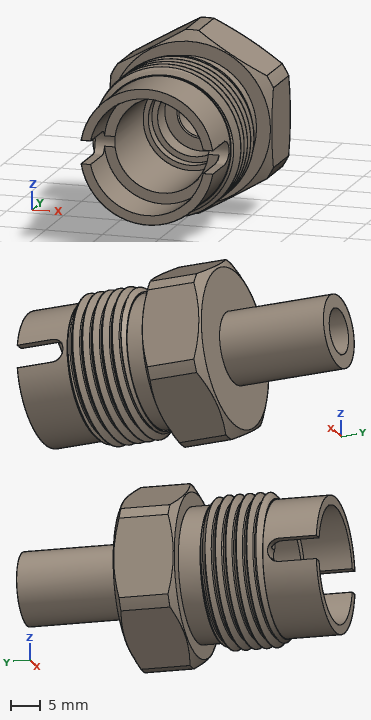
import cadquery as cq
import math


thread_start = 9.28
thread_end = 20.2
hex_front = 24.05
hex_back = 34.8
tail_length = 19.05
total_length = hex_back + tail_length

socket_diameter = 23.5
neck_diameter = 23.3
tail_diameter = 12.7

hex_across_flats = 28.575
hex_corner_diameter = 31.75
hex_front_face_diameter = 28.2
hex_back_face_diameter = 27.7
hex_half_angle = 30
bevel_angle = 30

inch = 25.4
turns_per_inch = 14
thread_diameter = 26.2
thread_root_diameter = 23.75
thread_pitch = inch / turns_per_inch
thread_flank_angle = 30
thread_crest_width = 0.12
crest_on_right = 18.09
turns_before_crest = 6
ridge_start = crest_on_right - turns_before_crest * thread_pitch
turns_after_crest = 2
ridge_turns = turns_before_crest + turns_after_crest
ridge_sink = 0.075
envelope_clearance = 0.9

bore_steps = [
    (20.2, 8.25),
    (16.5, 24.0),
    (14.7, 26.0),
    (12.7, 30.0),
]
through_diameter = 7.94
tail_mouth_diameter = 8.4
lead_in_length = (tail_mouth_diameter - through_diameter) / 2

slot_width = 4.06
slot_depth = 8.46


def revolve_about_axis(outline):
    """Revolve an outline of (radius, axial position) points around Y."""
    return cq.Workplane("XY").polyline(outline).close().revolve(360, (0, 0, 0), (0, 1, 0))


def cylinder(diameter, start, end):
    """Solid cylinder on the part axis between two axial positions."""
    radius = diameter / 2
    return revolve_about_axis([(0, start), (radius, start), (radius, end), (0, end)])


def make_hexagon():
    """Hexagon with two flats facing +X and -X, trimmed by a double-bevelled bar."""
    across_corners = hex_across_flats / math.cos(math.radians(hex_half_angle))
    prism = (
        cq.Workplane("XZ", origin=(0, hex_front, 0))
        .transformed(rotate=(0, 0, hex_half_angle))
        .polygon(6, across_corners)
        .extrude(hex_front - hex_back)
    )
    corner_radius = hex_corner_diameter / 2
    front_radius = hex_front_face_diameter / 2
    back_radius = hex_back_face_diameter / 2
    bevel_slope = math.tan(math.radians(bevel_angle))
    front_bevel = (corner_radius - front_radius) * bevel_slope
    back_bevel = (corner_radius - back_radius) * bevel_slope
    bar = revolve_about_axis([
        (0, hex_front),
        (front_radius, hex_front),
        (corner_radius, hex_front + front_bevel),
        (corner_radius, hex_back - back_bevel),
        (back_radius, hex_back),
        (0, hex_back),
    ])
    return prism.intersect(bar)


def make_thread_ridge():
    """Helical ridge of truncated V section, running past both ends of the thread."""
    base_radius = thread_root_diameter / 2 - ridge_sink
    crest_radius = thread_diameter / 2
    crest_half = thread_crest_width / 2
    flank_run = (crest_radius - base_radius) * math.tan(math.radians(thread_flank_angle))
    base_half = crest_half + flank_run
    helix = cq.Wire.makeHelix(thread_pitch, ridge_turns * thread_pitch, base_radius)
    ridge = (
        cq.Workplane("XZ")
        .polyline([
            (base_radius, -base_half),
            (crest_radius, -crest_half),
            (crest_radius, crest_half),
            (base_radius, base_half),
        ])
        .close()
        .sweep(cq.Workplane(obj=helix), isFrenet=True)
    )
    return ridge.rotate((0, 0, 0), (1, 0, 0), -90).translate((0, ridge_start, 0))


def make_thread():
    """Threaded band whose ridge fades out in 45 degree chamfers at both ends."""
    root_radius = thread_root_diameter / 2
    envelope_radius = thread_diameter / 2 + envelope_clearance
    chamfer = envelope_radius - root_radius
    envelope = revolve_about_axis([
        (0, thread_start),
        (root_radius, thread_start),
        (envelope_radius, thread_start + chamfer),
        (envelope_radius, thread_end - chamfer),
        (root_radius, thread_end),
        (0, thread_end),
    ])
    core = cylinder(thread_root_diameter, thread_start, thread_end)
    return core.union(envelope.intersect(make_thread_ridge()))


def cut_bore(body):
    """Cut the stepped socket bore and the through hole with its small lead-in."""
    for diameter, floor in bore_steps:
        body = body.cut(cylinder(diameter, 0, floor))
    last_floor = bore_steps[-1][1]
    through_radius = through_diameter / 2
    lead_in = revolve_about_axis([
        (0, last_floor),
        (tail_mouth_diameter / 2, last_floor),
        (through_radius, last_floor + lead_in_length),
        (0, last_floor + lead_in_length),
    ])
    return body.cut(lead_in).cut(cylinder(through_diameter, 0, total_length))


def cut_slots(body):
    """Cut the round-bottomed slot through both walls of the socket along X."""
    round_centre = slot_depth - slot_width / 2
    slot = (
        cq.Workplane("YZ")
        .moveTo(0, -slot_width / 2)
        .lineTo(round_centre, -slot_width / 2)
        .threePointArc((slot_depth, 0), (round_centre, slot_width / 2))
        .lineTo(0, slot_width / 2)
        .close()
        .extrude(socket_diameter, both=True)
    )
    return body.cut(slot)


socket = cylinder(socket_diameter, 0, thread_start)
neck = cylinder(neck_diameter, thread_end, hex_front)
tail = cylinder(tail_diameter, hex_back, total_length)
body = make_thread().union(socket).union(neck).union(make_hexagon()).union(tail)
result = cut_slots(cut_bore(body)).solids()